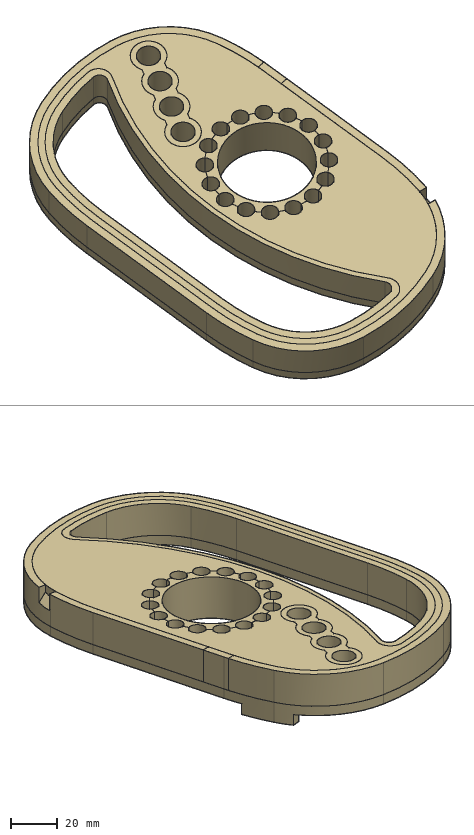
import cadquery as cq
import math

HALF_LENGTH = 95.9
HALF_WIDTH = 57.82
END_RADIUS = 89.4
END_SWEEP = 14.4
CORNER_RADIUS = 45.3
CORNER_SWEEP = 63.2

BASE_THICKNESS = 4.6
TOTAL_HEIGHT = 20.1
TAB_DROP = 5.2
WALL_HEIGHT = TOTAL_HEIGHT - BASE_THICKNESS

RIM_WALL = 3.6
LINER_INSET = 6.7
OPENING_INSET = 10.2
GRIP_RADIUS = 154.4
GRIP_LOWEST_Y = -16.7
GRIP_WALL = 2.3
OPENING_TIP_RADIUS = 3.6
LINER_TIP_RADIUS = 6.1

RING_Y = 19.0
MAIN_HOLE_DIAMETER = 42.4
RING_RADIUS = 26.7
RING_HOLE_COUNT = 16
RING_HOLE_DIAMETER = 7.5

ROW_START = (-75.7, 27.0)
ROW_STEP = (12.71, -6.7)
ROW_COUNT = 4
ROW_HOLE_DIAMETER = 10.4
SCALLOP_RADIUS = 7.9

PLUG_X_START = -36.8
PLUG_X_END = -23.5

TAB_X_START = -67.3
TAB_X_END_OUTER = -43.3
TAB_X_END_INNER = -44.5

NOTCH_CENTER = (62.9, 52.0)
NOTCH_LENGTH = 7.5
NOTCH_ANGLE = -13.0
NOTCH_REACH = 5.8
NOTCH_FALL = 11.5

ring_hole_points = [
    (
        RING_RADIUS * math.cos(2 * math.pi * i / RING_HOLE_COUNT),
        RING_Y + RING_RADIUS * math.sin(2 * math.pi * i / RING_HOLE_COUNT),
    )
    for i in range(RING_HOLE_COUNT)
]
row_points = [
    (ROW_START[0] + i * ROW_STEP[0], ROW_START[1] + i * ROW_STEP[1]) for i in range(ROW_COUNT)
]


def polar(center, radius, degrees):
    angle = math.radians(degrees)
    return (center[0] + radius * math.cos(angle), center[1] + radius * math.sin(angle))


def outline_arcs():
    """Center, radius, start and end angle of the tangent arcs of one quarter, from +X to +Y."""
    shoulder_start = END_SWEEP + CORNER_SWEEP
    end_center = (HALF_LENGTH - END_RADIUS, 0)
    corner_center = polar(end_center, END_RADIUS - CORNER_RADIUS, END_SWEEP)
    corner_end = polar(corner_center, CORNER_RADIUS, shoulder_start)
    rise = 1 - math.sin(math.radians(shoulder_start))
    shoulder_radius = (HALF_WIDTH - corner_end[1]) / rise
    shoulder_center = polar(corner_center, CORNER_RADIUS - shoulder_radius, shoulder_start)
    return [
        (end_center, END_RADIUS, 0, END_SWEEP),
        (corner_center, CORNER_RADIUS, END_SWEEP, shoulder_start),
        (shoulder_center, shoulder_radius, shoulder_start, 90),
    ]


def flip(point, sx, sy):
    return (sx * point[0], sy * point[1])


def outline(inset, z, height):
    """Solid slab of the oval outline, shrunk by inset."""
    end, corner, shoulder = [
        [polar(center, radius - inset, angle) for angle in (start, (start + stop) / 2, stop)]
        for center, radius, start, stop in outline_arcs()
    ]
    sketch = cq.Workplane("XY", origin=(0, 0, z)).moveTo(*flip(end[2], 1, -1))
    for side in (1, -1):
        sketch = (
            sketch.threePointArc(flip(end[0], side, side), flip(end[2], side, side))
            .threePointArc(flip(corner[1], side, side), flip(corner[2], side, side))
            .threePointArc(flip(shoulder[1], side, side), flip(shoulder[2], side, side))
            .lineTo(*flip(shoulder[2], -side, side))
            .threePointArc(flip(shoulder[1], -side, side), flip(shoulder[0], -side, side))
            .threePointArc(flip(corner[1], -side, side), flip(corner[0], -side, side))
        )
    return sketch.close().extrude(height)


def cylinders(points, diameter, z, height):
    return cq.Workplane("XY", origin=(0, 0, z)).pushPoints(points).circle(diameter / 2).extrude(height)


def handle_shape(inset, grip_offset, tip_radius, z, height):
    """Area of the outline below the grip arc, with rounded tips."""
    arc_center_y = GRIP_LOWEST_Y + GRIP_RADIUS
    grip = cylinders([(0, arc_center_y)], 2 * (GRIP_RADIUS - grip_offset), z, height)
    return outline(inset, z, height).cut(grip).solids("<Y").edges("|Z").edges(">Y").fillet(tip_radius)


def opening(z, height):
    return handle_shape(OPENING_INSET, 0, OPENING_TIP_RADIUS, z, height)


def liner_outside(z, height):
    return handle_shape(LINER_INSET, GRIP_WALL, LINER_TIP_RADIUS, z, height)


def scallop(z, height):
    """Boss around the row of holes: overlapping discs joined by a bar as wide as the holes."""
    first, last = row_points[0], row_points[-1]
    middle = ((first[0] + last[0]) / 2, (first[1] + last[1]) / 2)
    length = math.hypot(last[0] - first[0], last[1] - first[1])
    angle = math.degrees(math.atan2(ROW_STEP[1], ROW_STEP[0]))
    bar = (
        cq.Workplane("XY", origin=(middle[0], middle[1], z))
        .transformed(rotate=(0, 0, angle))
        .rect(length, ROW_HOLE_DIAMETER)
        .extrude(height)
    )
    return bar.union(cylinders(row_points, 2 * SCALLOP_RADIUS, z, height))


def rim_band(z, height):
    return outline(0, z, height).cut(outline(RIM_WALL, z, height))


def cut_holes(body):
    body = body.cut(cylinders([(0, RING_Y)], MAIN_HOLE_DIAMETER, 0, TOTAL_HEIGHT))
    body = body.cut(cylinders(ring_hole_points, RING_HOLE_DIAMETER, 0, TOTAL_HEIGHT))
    return body.cut(cylinders(row_points, ROW_HOLE_DIAMETER, 0, TOTAL_HEIGHT))


def make_tab():
    sector = (
        cq.Workplane("XY", origin=(0, 0, -TAB_DROP))
        .polyline([
            (TAB_X_START, 0),
            (TAB_X_START, HALF_WIDTH),
            (TAB_X_END_OUTER, HALF_WIDTH),
            (TAB_X_END_INNER, HALF_WIDTH - RIM_WALL),
            (TAB_X_END_INNER, 0),
        ])
        .close()
        .extrude(TAB_DROP)
    )
    return rim_band(-TAB_DROP, TAB_DROP).intersect(sector)


def make_base():
    plate = outline(0, 0, BASE_THICKNESS).cut(opening(0, BASE_THICKNESS))
    ring = cylinders([(0, RING_Y)], 2 * RING_RADIUS, 0, TOTAL_HEIGHT)
    base = plate.union(ring).union(scallop(0, TOTAL_HEIGHT))
    return cut_holes(base.union(make_tab()))


def plug_space():
    return (
        cq.Workplane("XY", origin=(0, 0, BASE_THICKNESS))
        .moveTo(PLUG_X_START, HALF_WIDTH / 2)
        .lineTo(PLUG_X_END, HALF_WIDTH / 2)
        .lineTo(PLUG_X_END, HALF_WIDTH)
        .lineTo(PLUG_X_START, HALF_WIDTH)
        .close()
        .extrude(WALL_HEIGHT)
    )


def notch():
    """Wedge whose floor falls outwards across the rim."""
    return (
        cq.Workplane("YZ")
        .moveTo(-NOTCH_REACH, TOTAL_HEIGHT)
        .lineTo(NOTCH_REACH, TOTAL_HEIGHT)
        .lineTo(NOTCH_REACH, TOTAL_HEIGHT - NOTCH_FALL)
        .close()
        .extrude(NOTCH_LENGTH / 2, both=True)
        .rotate((0, 0, 0), (0, 0, 1), NOTCH_ANGLE)
        .translate((NOTCH_CENTER[0], NOTCH_CENTER[1], 0))
    )


base = make_base()
rim = rim_band(BASE_THICKNESS, WALL_HEIGHT).cut(plug_space()).cut(notch())
plug = rim_band(BASE_THICKNESS, WALL_HEIGHT).intersect(plug_space())
liner = liner_outside(BASE_THICKNESS, WALL_HEIGHT).cut(opening(BASE_THICKNESS, WALL_HEIGHT))
fill = (
    outline(RIM_WALL, BASE_THICKNESS, WALL_HEIGHT)
    .cut(liner_outside(BASE_THICKNESS, WALL_HEIGHT))
    .cut(cylinders([(0, RING_Y)], 2 * RING_RADIUS, BASE_THICKNESS, WALL_HEIGHT))
    .cut(scallop(BASE_THICKNESS, WALL_HEIGHT))
)
fill = cut_holes(fill)

result = cq.Compound.makeCompound([base.val(), rim.val(), plug.val(), liner.val(), fill.val()])